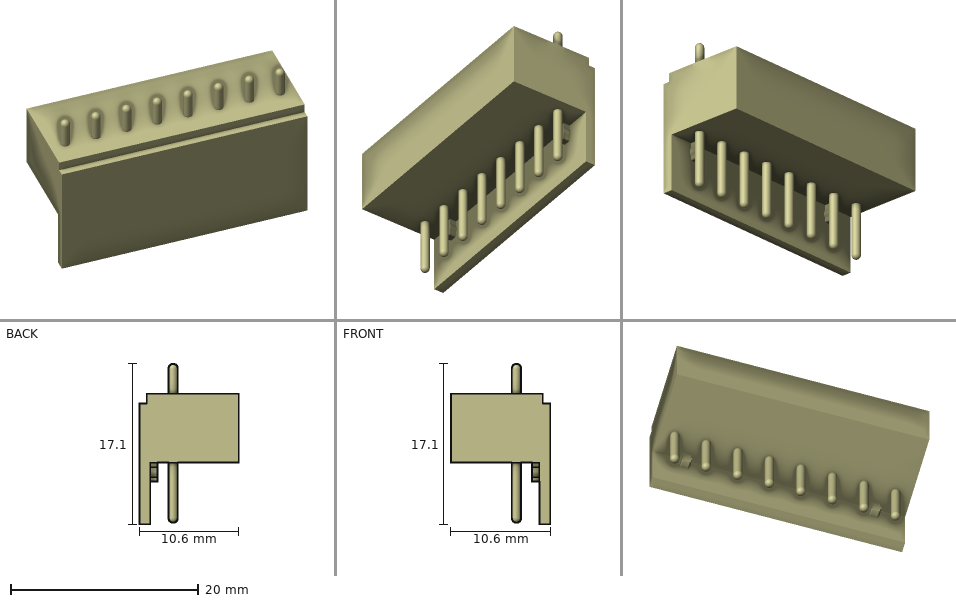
import cadquery as cq

PIN_COUNT = 8
PITCH = 3.5
PIN_RADIUS = 0.5
PIN_BOTTOM = 0.17
PIN_TOP = 17.15

HOUSING_LENGTH = PIN_COUNT * PITCH
HOUSING_DEPTH = 10.6
FRONT_TO_PINS = 7.0
HOUSING_BOTTOM = 6.58
HOUSING_TOP = 13.95
STEP_DEPTH = 0.78
STEP_HEIGHT = 1.05

PLATE_THICKNESS = 1.18

RIB_PROUD = 0.78
RIB_HEIGHT = 2.02
RIB_NECK_HALF = 0.5
RIB_BULGE_HALF = 0.67
RIB_SHOULDER_HALF = 0.62
RIB_CORNER = 0.17
NECK_END = 0.5
BULGE_START = 0.85
BULGE_END = 1.3
TIP_START = 1.55

FRONT_X = -FRONT_TO_PINS
BACK_X = FRONT_X + HOUSING_DEPTH
PLATE_X = BACK_X - PLATE_THICKNESS
STEP_X = BACK_X - STEP_DEPTH
PIN_END_Y = (HOUSING_LENGTH - PITCH) / 2
RIB_Y = PIN_END_Y - PITCH / 2


def make_housing():
    """Housing and back plate as one extruded side outline."""
    outline = [
        (FRONT_X, HOUSING_BOTTOM),
        (PLATE_X, HOUSING_BOTTOM),
        (PLATE_X, 0),
        (BACK_X, 0),
        (BACK_X, HOUSING_TOP - STEP_HEIGHT),
        (STEP_X, HOUSING_TOP - STEP_HEIGHT),
        (STEP_X, HOUSING_TOP),
        (FRONT_X, HOUSING_TOP),
    ]
    return cq.Workplane("XZ").polyline(outline).close().extrude(HOUSING_LENGTH / 2, both=True)


def make_pin(y):
    """Round pin through the housing with a hemispherical tip at each end."""
    middle_z = (PIN_BOTTOM + PIN_TOP) / 2
    half_length = (PIN_TOP - PIN_BOTTOM) / 2
    shoulder = half_length - PIN_RADIUS
    slant = PIN_RADIUS * 0.5**0.5
    half_section = (
        cq.Workplane("XZ")
        .moveTo(0, -half_length)
        .threePointArc((slant, -shoulder - slant), (PIN_RADIUS, -shoulder))
        .lineTo(PIN_RADIUS, shoulder)
        .threePointArc((slant, shoulder + slant), (0, half_length))
        .close()
    )
    return half_section.revolve(360, (0, 0), (0, 1)).translate((0, y, middle_z))


def make_rib(y):
    """Rib with a straight neck, a rounded bulge and a narrow tip with rounded corners."""
    bulge_middle = (BULGE_START + BULGE_END) / 2
    rib = (
        cq.Workplane("YZ")
        .moveTo(-RIB_NECK_HALF, 0)
        .lineTo(-RIB_NECK_HALF, -NECK_END)
        .lineTo(-RIB_SHOULDER_HALF, -BULGE_START)
        .threePointArc((-RIB_BULGE_HALF, -bulge_middle), (-RIB_SHOULDER_HALF, -BULGE_END))
        .lineTo(-RIB_NECK_HALF, -TIP_START)
        .lineTo(-RIB_NECK_HALF, -RIB_HEIGHT)
        .lineTo(RIB_NECK_HALF, -RIB_HEIGHT)
        .lineTo(RIB_NECK_HALF, -TIP_START)
        .lineTo(RIB_SHOULDER_HALF, -BULGE_END)
        .threePointArc((RIB_BULGE_HALF, -bulge_middle), (RIB_SHOULDER_HALF, -BULGE_START))
        .lineTo(RIB_NECK_HALF, -NECK_END)
        .lineTo(RIB_NECK_HALF, 0)
        .close()
        .extrude(RIB_PROUD)
    )
    rounded = rib.faces("<Z").edges("|X").fillet(RIB_CORNER)
    return rounded.translate((PLATE_X - RIB_PROUD, y, HOUSING_BOTTOM))


result = make_housing()

for index in range(PIN_COUNT):
    result = result.union(make_pin(index * PITCH - PIN_END_Y))

for rib_y in (-RIB_Y, RIB_Y):
    result = result.union(make_rib(rib_y))